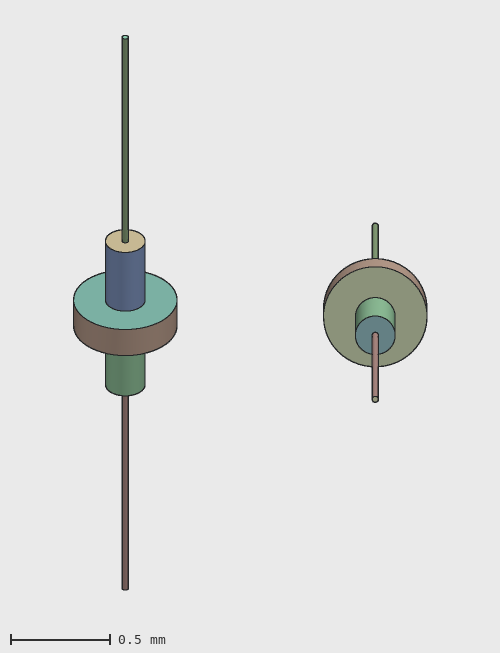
import cadquery as cq

flange_diameter = 0.52
flange_thickness = 0.16
sleeve_diameter = 0.20
sleeve_length = 0.88
pin_diameter = 0.032
pin_projection = 1.25

pin_length = sleeve_length + 2 * pin_projection


def centred_cylinder(diameter, length):
    """Cylinder along Z, centred on the origin."""
    return cq.Workplane("XY").cylinder(length, diameter / 2)


flange = centred_cylinder(flange_diameter, flange_thickness)
sleeve = centred_cylinder(sleeve_diameter, sleeve_length)
pin = centred_cylinder(pin_diameter, pin_length)

result = flange.union(sleeve).union(pin)